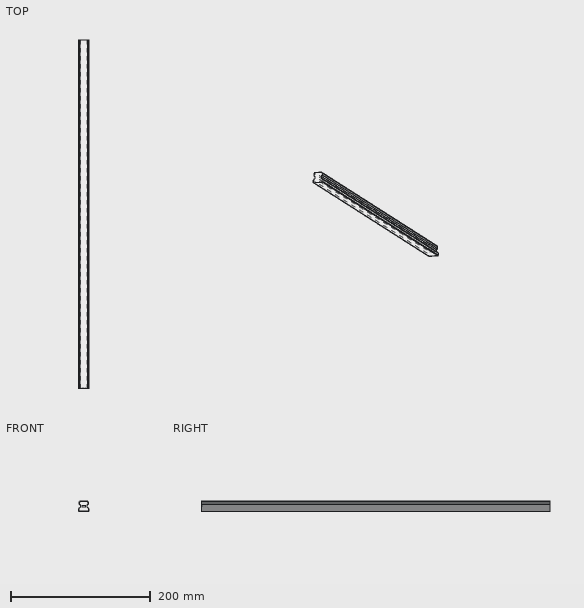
import cadquery as cq
import math

length = 500.0
width = 15.0
height = 15.0

foot_chamfer = 0.72
foot_side_top = 3.73

waist_width = 9.82

top_width = 10.15
head_width = 13.0
head_middle = 11.98
head_side_height = 3.05
groove_depth = 0.3

recess_width = 5.2
recess_height = 2.5
recess_middle = height / 2
recess_depth = 1.0

half_foot = width / 2
half_waist = waist_width / 2
half_top = top_width / 2
half_head = head_width / 2
foot_slope_top = foot_side_top + half_foot - half_waist
shoulder = head_middle + head_side_height / 2
lip = head_middle - head_side_height / 2
waist_top = 2 * head_middle - height


def mirror_x(point):
    """Mirror a profile point to the other side of the rail."""
    return (-point[0], point[1])


def groove_bottom(inner, outer):
    """Deepest point of the groove arc from its inner end to its outer end."""
    chord_x = outer[0] - inner[0]
    chord_z = outer[1] - inner[1]
    reach = groove_depth / math.hypot(chord_x, chord_z)
    toward_middle = math.copysign(1, chord_z)
    return (
        (inner[0] + outer[0]) / 2 - reach * abs(chord_z),
        (inner[1] + outer[1]) / 2 + reach * chord_x * toward_middle,
    )


def rail_body():
    foot_points = [
        (half_foot - foot_chamfer, 0),
        (half_foot, foot_chamfer),
        (half_foot, foot_side_top),
        (half_waist, foot_slope_top),
    ]
    waist_end = (half_waist, waist_top)
    lip_corner = (half_head, lip)
    side_middle = (half_head, head_middle)
    shoulder_corner = (half_head, shoulder)
    top_corner = (half_top, height)
    lower_groove = groove_bottom(waist_end, lip_corner)
    upper_groove = groove_bottom(top_corner, shoulder_corner)

    profile = (
        cq.Workplane("XZ", origin=(0, length / 2, 0))
        .polyline(foot_points + [waist_end])
        .threePointArc(lower_groove, lip_corner)
        .lineTo(*side_middle)
        .lineTo(*shoulder_corner)
        .threePointArc(upper_groove, top_corner)
        .lineTo(*mirror_x(top_corner))
        .threePointArc(mirror_x(upper_groove), mirror_x(shoulder_corner))
        .lineTo(*mirror_x(side_middle))
        .lineTo(*mirror_x(lip_corner))
        .threePointArc(mirror_x(lower_groove), mirror_x(waist_end))
    )
    for point in reversed(foot_points):
        profile = profile.lineTo(*mirror_x(point))
    return profile.close().extrude(length, clean=False)


def end_recess():
    return (
        cq.Workplane("XY")
        .box(recess_width, recess_depth, recess_height)
        .translate((0, (recess_depth - length) / 2, recess_middle))
    )


result = rail_body().cut(end_recess(), clean=False)